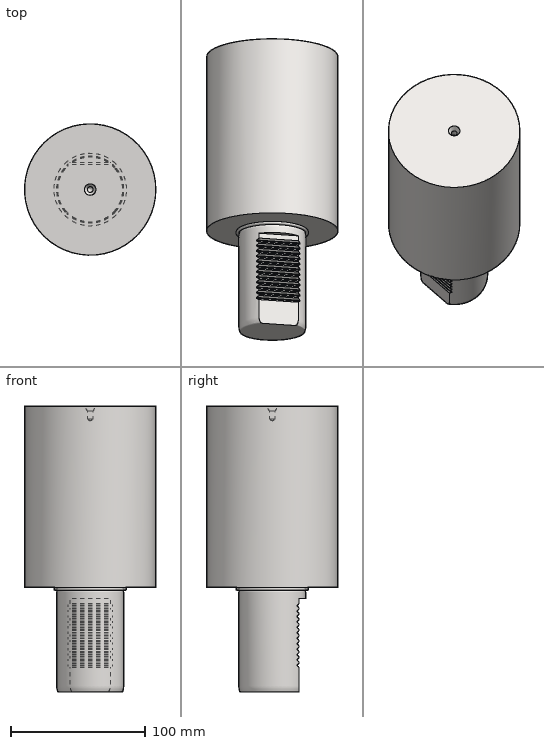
import cadquery as cq
import math

total_length = 213.0
head_diameter = 98.0
head_length = 135.0
shank_diameter = 50.0
shank_length = total_length - head_length
shank_radius = shank_diameter / 2

lead_in_angle = 15.0
lead_in_length = 4.3
lead_in_blend_radius = 10.0
end_edge_radius = 1.0

seal_section_diameter = 2.3
seal_outer_diameter = 54.0
seal_section_radius = seal_section_diameter / 2
seal_center_radius = seal_outer_diameter / 2 - seal_section_radius
relief_length = 3.8
relief_depth = 0.9

flat_offset = 20.0
flat_start = 8.3
tooth_pitch = 4.0
tooth_groove_count = 12
tooth_groove_depth = 1.3
tooth_root_width = 0.6
tooth_groove_angle = 90.0
first_groove_drop = 13.6

countersink_diameter = 8.5
countersink_angle = 60.0
pilot_diameter = 4.3
pilot_depth = 9.8
drill_tip_angle = 120.0


def make_blank():
    """Head and shank turned in one piece, with a tapered relief below the head."""
    head_radius = head_diameter / 2
    taper = math.radians(lead_in_angle)

    blend_center_x = shank_radius - lead_in_blend_radius
    blend_start_z = lead_in_length - shank_length
    blend_middle = (
        blend_center_x + lead_in_blend_radius * math.cos(taper / 2),
        blend_start_z - lead_in_blend_radius * math.sin(taper / 2),
    )
    blend_end = (
        blend_center_x + lead_in_blend_radius * math.cos(taper),
        blend_start_z - lead_in_blend_radius * math.sin(taper),
    )

    edge_center_z = end_edge_radius - shank_length
    cone_end_z = edge_center_z - end_edge_radius * math.sin(taper)
    cone_end_x = blend_end[0] - (blend_end[1] - cone_end_z) * math.tan(taper)
    edge_center_x = cone_end_x - end_edge_radius * math.cos(taper)
    edge_middle_angle = (taper + math.pi / 2) / 2
    edge_middle = (
        edge_center_x + end_edge_radius * math.cos(edge_middle_angle),
        edge_center_z - end_edge_radius * math.sin(edge_middle_angle),
    )

    profile = (
        cq.Workplane("XZ")
        .moveTo(0, -shank_length)
        .lineTo(edge_center_x, -shank_length)
        .threePointArc(edge_middle, (cone_end_x, cone_end_z))
        .lineTo(*blend_end)
        .threePointArc(blend_middle, (shank_radius, blend_start_z))
        .lineTo(shank_radius, -relief_length)
        .lineTo(shank_radius - relief_depth, 0)
        .lineTo(head_radius, 0)
        .lineTo(head_radius, head_length)
        .lineTo(0, head_length)
        .close()
    )
    return profile.revolve(360, (0, 0, 0), (0, 1, 0))


def make_flat_cutter():
    """Block that removes the +Y side of the shank down to the flat."""
    return cq.Workplane("XY").box(
        shank_diameter, shank_radius, shank_length - flat_start, centered=(True, False, False)
    ).translate((0, flat_offset, -shank_length))


def make_tooth_groove(groove_z):
    """Tapered prism along X, narrow at the root and wide at the flat."""
    root_half_width = tooth_root_width / 2
    flank_width = tooth_groove_depth * math.tan(math.radians(tooth_groove_angle / 2))
    mouth_half_width = root_half_width + flank_width
    root_y = flat_offset - tooth_groove_depth
    return (
        cq.Workplane("YZ")
        .moveTo(root_y, groove_z - root_half_width)
        .lineTo(root_y, groove_z + root_half_width)
        .lineTo(flat_offset, groove_z + mouth_half_width)
        .lineTo(flat_offset, groove_z - mouth_half_width)
        .close()
        .extrude(shank_radius, both=True)
    )


def make_center_hole():
    """Countersunk pilot hole with a conical drill tip, as a cutting body."""
    countersink_radius = countersink_diameter / 2
    pilot_radius = pilot_diameter / 2
    countersink_depth = (countersink_radius - pilot_radius) / math.tan(math.radians(countersink_angle / 2))
    tip_length = pilot_radius / math.tan(math.radians(drill_tip_angle / 2))
    pilot_bottom = head_length - pilot_depth
    profile = (
        cq.Workplane("XZ")
        .moveTo(0, head_length)
        .lineTo(countersink_radius, head_length)
        .lineTo(pilot_radius, head_length - countersink_depth)
        .lineTo(pilot_radius, pilot_bottom)
        .lineTo(0, pilot_bottom - tip_length)
        .close()
    )
    return profile.revolve(360, (0, 0, 0), (0, 1, 0))


def make_seal_ring():
    """Round-section ring resting against the head shoulder."""
    return (
        cq.Workplane("XZ")
        .center(seal_center_radius, -seal_section_radius)
        .circle(seal_section_radius)
        .revolve(360, (-seal_center_radius, 0, 0), (-seal_center_radius, 1, 0))
    )


seal_ring = make_seal_ring()

holder = make_blank().cut(make_flat_cutter()).cut(make_center_hole())
for groove_index in range(tooth_groove_count):
    holder = holder.cut(make_tooth_groove(-first_groove_drop - groove_index * tooth_pitch))

result = cq.Compound.makeCompound([holder.val(), seal_ring.val()])